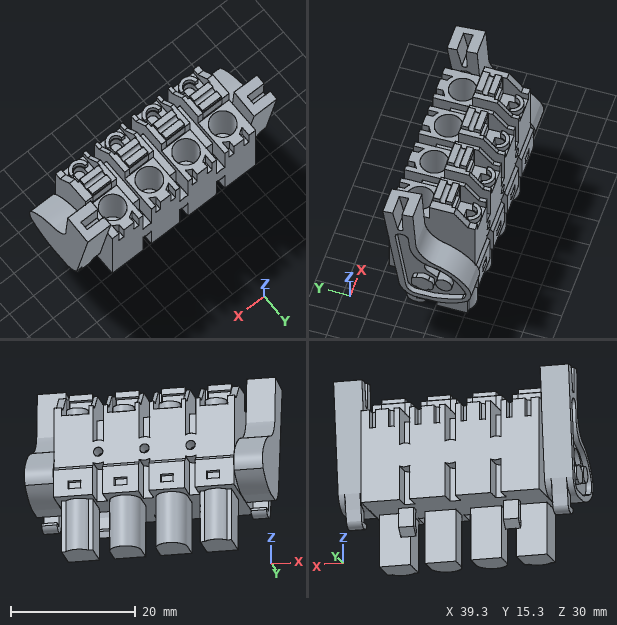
import cadquery as cq


pole_count = 4
pole_pitch = 7.62
pole_gap = 1.7
pole_xs = [(i - (pole_count - 1) / 2) * pole_pitch for i in range(pole_count)]
gap_xs = [(i - (pole_count - 2) / 2) * pole_pitch for i in range(pole_count - 1)]

overall_length = 39.3
lever_width = 4.77
housing_length = overall_length - 2 * lever_width
housing_depth = 14.54
shoulder_z = 15.4
peak_z = 18.22
peak_back_y = 7.75
peak_front_y = 3.6
slope_foot_y = 1.2
skirt_projection = 0.53
skirt_z = 4.64
skirt_top_z = 5.17

web_top_z = 13.82
gap_slot_depth = 3.08
bridge_z = 7.43
bridge_radius = 2.0
bridge_hole_diameter = 1.52

window_width = 2.1
window_height = 1.3
window_bottom_z = 1.28
window_depth = 0.8

wire_hole_diameter = 4.6
wire_hole_y = 10.37
wire_hole_depth = 10.0
notch_inner_x = 1.07
notch_outer_x = 2.05
notch_inner_depth = 1.18
notch_outer_depth = 1.76
notch_height = 3.0

pocket_width = 4.55
pocket_back_y = 4.3
pocket_floor_z = 14.03
collar_y = 1.91
collar_outer_radius = 1.79
collar_inner_radius = 1.13
collar_height = 1.22
probe_width = 2.0
probe_back_y = 2.83
probe_depth = 2.0

sleeve_length = 8.7
sleeve_radius = 2.58
sleeve_axis_y = 3.36
sleeve_back_y = 6.72
end_sleeve_corner_y = 1.56

snap_width = 2.5
snap_inner_x = 7.5
snap_back_y = 9.58
snap_front_y = 8.38
snap_root_y = 8.13
snap_root_z = -0.95
snap_barb_top_z = -2.83
snap_barb_y = 7.81
snap_barb_z = -3.4
snap_tip_y = 8.21
snap_tip_z = -4.45
snap_heel_z = -3.16

button_width = 3.9
button_floor_z = 15.75
rib_top_z = 19.0
back_rib_y = (6.41, 7.62)
front_rib_y = (4.35, 5.48)
groove_axis_z = 18.55
finger_recess_y = 5.15
finger_recess_top_z = 17.93

recess_depth = 0.95
guide_depth = 1.4
pivot_y = 7.45
pivot_z = 4.02
pivot_diameter = 3.14
pivot_ear_width = 3.62
pivot_ear_height = 2.34
pivot_ear_radius = 0.7
pin_y = 3.82
pin_z = 4.97
pin_diameter = 2.74
grip_slot_depth = 3.5
hook_width = 2.57

handle_top_back = (14.14, 20.72)
handle_top_front = (9.02, 21.26)
neck_top = (8.5, 13.53)
cam_top = (5.41, 9.9)
nose_top = (-0.32, 5.75)
nose_bottom = (-0.32, 2.45)
sole_front = (5.4, 0.08)
sole_back = (8.7, 0.08)
heel = (11.36, 2.5)

hook_throat_y = 8.78
hook_throat_z = -1.68
hook_tip_y = 7.22
hook_tip_z = (-1.95, -1.55)

slot_top_z = 22.0
slot_top_y = (10.88, 12.66)
slot_bottom_back = (11.6, 17.0)
slot_bottom = (11.15, 16.75)
slot_bottom_front = (10.71, 17.1)


def block(x0, x1, y0, y1, z0, z1):
    """Box between opposite corners."""
    return cq.Workplane("XY").box(x1 - x0, y1 - y0, z1 - z0, centered=False).translate((x0, y0, z0))


def centred_block(x, width, y0, y1, z0, z1):
    """Box of a given width centred on x."""
    return block(x - width / 2, x + width / 2, y0, y1, z0, z1)


def side_plane(x):
    """Sketch plane facing +X: local axes are Y and Z."""
    return cq.Workplane("YZ").workplane(offset=x)


def housing_body():
    profile = [
        (0, skirt_top_z),
        (0, shoulder_z),
        (slope_foot_y, shoulder_z),
        (peak_front_y, peak_z),
        (peak_back_y, peak_z),
        (peak_back_y, shoulder_z),
        (housing_depth, shoulder_z),
        (housing_depth, 0),
        (-skirt_projection, 0),
        (-skirt_projection, skirt_z),
    ]
    return side_plane(-housing_length / 2).polyline(profile).close().extrude(housing_length)


def gap_cut(x):
    """Gap between two poles: open above the web, slotted front and back around a round bridge."""
    above_web = centred_block(x, pole_gap, -skirt_projection, housing_depth, web_top_z, peak_z)
    front = centred_block(x, pole_gap, -skirt_projection, gap_slot_depth, 0, web_top_z)
    back = centred_block(x, pole_gap, housing_depth - gap_slot_depth, housing_depth, 0, web_top_z)
    bridge = (
        cq.Workplane("XZ", origin=(x, 0, bridge_z))
        .circle(bridge_radius)
        .extrude(-housing_depth)
    )
    bridge_hole = (
        cq.Workplane("XZ", origin=(x, 0, bridge_z))
        .circle(bridge_hole_diameter / 2)
        .extrude(-gap_slot_depth)
    )
    return front.union(back).cut(bridge).union(above_web).union(bridge_hole)


def wire_side_cut(x):
    """Wire entry hole and the pair of slanted-end grooves on the back face."""
    cut = (
        cq.Workplane("XY", origin=(x, wire_hole_y, shoulder_z))
        .circle(wire_hole_diameter / 2)
        .extrude(-wire_hole_depth)
    )
    for side in (-1, 1):
        groove = [
            (side * notch_inner_x, housing_depth),
            (side * notch_inner_x, housing_depth - notch_inner_depth),
            (side * notch_outer_x, housing_depth - notch_outer_depth),
            (side * notch_outer_x, housing_depth),
        ]
        cut = cut.union(
            cq.Workplane("XY", origin=(x, 0, shoulder_z)).polyline(groove).close().extrude(-notch_height)
        )
    return cut


def front_cut(x):
    """Test-point pocket, seat of the release button and the small window in the skirt."""
    pocket = centred_block(x, pocket_width, 0, pocket_back_y, pocket_floor_z, peak_z)
    seat = centred_block(x, button_width, pocket_back_y, peak_back_y, button_floor_z, peak_z)
    window = centred_block(
        x, window_width,
        -skirt_projection, window_depth - skirt_projection,
        window_bottom_z, window_bottom_z + window_height,
    )
    return pocket.union(seat).union(window)


def probe_cut(x):
    """Round-fronted probe opening in the pocket floor."""
    probe_radius = probe_width / 2
    return (
        cq.Workplane("XY", origin=(x, 0, pocket_floor_z))
        .moveTo(-probe_radius, probe_back_y)
        .lineTo(-probe_radius, collar_y)
        .threePointArc((0, collar_y - probe_radius), (probe_radius, collar_y))
        .lineTo(probe_radius, probe_back_y)
        .close()
        .extrude(-probe_depth)
    )


def collar(x):
    """Half ring standing on the pocket floor in front of the probe opening."""
    ring = (
        cq.Workplane("XY", origin=(x, collar_y, pocket_floor_z))
        .circle(collar_outer_radius)
        .circle(collar_inner_radius)
        .extrude(collar_height)
    )
    front_half = centred_block(
        x, pocket_width, 0, collar_y, pocket_floor_z, pocket_floor_z + collar_height
    )
    return ring.intersect(front_half)


def sleeve(x, corner_y):
    """Plug sleeve: square back up to corner_y, round front."""
    round_front = (
        cq.Workplane("XY", origin=(x, sleeve_axis_y, 0)).circle(sleeve_radius).extrude(-sleeve_length)
    )
    square_back = centred_block(x, 2 * sleeve_radius, corner_y, sleeve_back_y, -sleeve_length, 0)
    return round_front.union(square_back)


def snap_hook(x_start):
    """Barbed leg under the housing."""
    profile = [
        (snap_back_y, 0),
        (snap_root_y, 0),
        (snap_front_y, snap_root_z),
        (snap_front_y, snap_barb_top_z),
        (snap_barb_y, snap_barb_z),
        (snap_tip_y, snap_tip_z),
        (snap_back_y, snap_heel_z),
    ]
    return side_plane(x_start).polyline(profile).close().extrude(snap_width)


def make_housing():
    body = housing_body()
    for x in gap_xs:
        body = body.cut(gap_cut(x))
    for x in pole_xs:
        is_end = x in (pole_xs[0], pole_xs[-1])
        body = body.cut(wire_side_cut(x)).cut(front_cut(x)).cut(probe_cut(x))
        body = body.union(collar(x))
        body = body.union(sleeve(x, end_sleeve_corner_y if is_end else sleeve_axis_y))
    for x_start in (-snap_inner_x - snap_width, snap_inner_x):
        body = body.union(snap_hook(x_start))
    return body


def make_button(x):
    """Button with two ribs on top, a round-bottomed groove between them and a finger recess in front."""
    front_y, groove_front = front_rib_y
    groove_back, back_y = back_rib_y
    groove_middle = (groove_front + groove_back) / 2
    groove_radius = (groove_back - groove_front) / 2
    body = centred_block(x, button_width, front_y, peak_back_y, button_floor_z, peak_z)
    ribs = centred_block(x, button_width, front_y, back_y, peak_z, rib_top_z)
    groove = (
        side_plane(x - button_width / 2)
        .moveTo(groove_front, rib_top_z)
        .lineTo(groove_front, groove_axis_z)
        .threePointArc((groove_middle, groove_axis_z - groove_radius), (groove_back, groove_axis_z))
        .lineTo(groove_back, rib_top_z)
        .close()
        .extrude(button_width)
    )
    finger_recess = centred_block(
        x, button_width, front_y, finger_recess_y, button_floor_z, finger_recess_top_z
    )
    return body.union(ribs).cut(groove).cut(finger_recess)


def lever_blank(x):
    """Full-width lever: straight handle at the top, rounded cam at the bottom."""
    return (
        side_plane(x)
        .moveTo(*handle_top_back)
        .lineTo(*handle_top_front)
        .lineTo(*neck_top)
        .threePointArc((7.7, 11.7), cam_top)
        .threePointArc((2.58, 8.6), nose_top)
        .threePointArc((-0.77, 4.15), nose_bottom)
        .threePointArc((2.01, 0.97), sole_front)
        .lineTo(*sole_back)
        .threePointArc((10.4, 0.95), heel)
        .close()
        .extrude(lever_width)
    )


def lever_recess(x):
    """Shallow recess following the lever outline."""
    return (
        side_plane(x)
        .moveTo(12.0, 14.85)
        .threePointArc((10.95, 15.8), (9.78, 15.0))
        .lineTo(9.62, 13.1)
        .threePointArc((8.65, 10.66), (5.88, 9.07))
        .threePointArc((2.9, 7.75), (0.5, 5.0))
        .threePointArc((0.12, 3.85), (0.72, 2.55))
        .threePointArc((2.98, 1.7), (5.7, 1.05))
        .lineTo(8.75, 1.05)
        .threePointArc((9.75, 1.65), (10.22, 2.7))
        .close()
        .extrude(recess_depth)
    )


def lever_guide(x):
    """Curved guide groove sunk into the recess floor, leading to the pin."""
    return (
        side_plane(x + recess_depth)
        .moveTo(6.6, 6.3)
        .threePointArc((7.35, 7.55), (5.9, 8.8))
        .threePointArc((4.0, 7.85), (2.55, 5.5))
        .lineTo(pin_y, pin_z)
        .lineTo(5.2, 5.35)
        .close()
        .extrude(guide_depth)
    )


def lever_bosses(x):
    """Pivot boss with two ears, and pin boss, level with the outer face of the lever."""
    pivot = side_plane(x).center(pivot_y, pivot_z).circle(pivot_diameter / 2).extrude(recess_depth)
    pivot_ears = (
        side_plane(x)
        .center(pivot_y, pivot_z)
        .rect(pivot_ear_width, pivot_ear_height)
        .extrude(recess_depth)
        .edges("|X")
        .fillet(pivot_ear_radius)
    )
    pin = side_plane(x).center(pin_y, pin_z).circle(pin_diameter / 2).extrude(recess_depth + guide_depth)
    return pivot.union(pivot_ears).union(pin)


def lever_grip_slot(x):
    """Tapered slot with a round bottom in the end of the handle."""
    return (
        side_plane(x)
        .moveTo(slot_top_y[1], slot_top_z)
        .lineTo(*slot_bottom_back)
        .threePointArc(slot_bottom, slot_bottom_front)
        .lineTo(slot_top_y[0], slot_top_z)
        .close()
        .extrude(grip_slot_depth)
    )


def lever_hook(x):
    """Narrow forward-pointing hook below the cam, centred across the lever."""
    return (
        side_plane(x + (lever_width - hook_width) / 2)
        .moveTo(*heel)
        .lineTo(10.7, 0)
        .lineTo(10.3, -1.86)
        .threePointArc((9.62, -2.58), (8.78, -2.72))
        .threePointArc((7.7, -2.5), (hook_tip_y, hook_tip_z[0]))
        .lineTo(hook_tip_y, hook_tip_z[1])
        .lineTo(hook_throat_y, hook_throat_z)
        .lineTo(hook_throat_y, heel[1])
        .close()
        .extrude(hook_width)
    )


def make_lever(x):
    return (
        lever_blank(x)
        .union(lever_hook(x))
        .cut(lever_recess(x))
        .cut(lever_guide(x))
        .union(lever_bosses(x))
        .cut(lever_grip_slot(x))
    )


housing = make_housing()
buttons = [make_button(x) for x in pole_xs]
levers = [make_lever(x) for x in (-overall_length / 2, housing_length / 2)]

result = cq.Compound.makeCompound(
    [body.solids().val() for body in [housing, *buttons, *levers]]
)